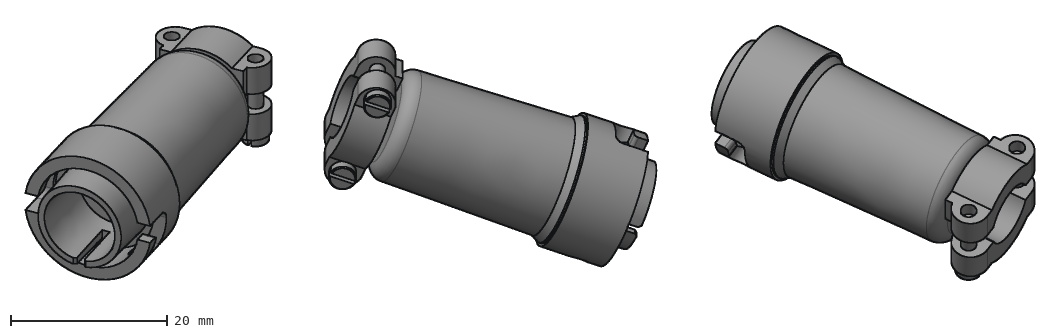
import cadquery as cq

length = 41.0
collar_radius = 18.0 / 2

nose_tip_radius = 5.95
nose_root_radius = 6.15
bore_tip_radius = 5.05
bore_end_radius = 4.9
bore_depth = 9.85
key_width = 1.05
key_mouth_chamfer = 0.35

collar_front = 2.35
collar_back = 10.65
pocket_radius = 7.2
pocket_floor = 7.63

entry_half_height = 1.27
track_front = 4.22
track_back = 6.85
track_corner_radius = 1.2
entry_corner_radius = 0.55
seat_radius = 1.5
seat_height = 4.2
corner_reach = 0.4

lip_back = 10.9
lip_radius = 8.6
cone_back = 12.0
cone_radius = 8.0
shell_back = 35.0
shell_back_radius = 7.45
shell_fillet = 2.0

ear_radius = 2.5
ear_offset = 5.5
ear_y = length - ear_radius
lug_inner = 1.5
lug_outer = 5.5
saddle_radius = 7.0
cable_radius = 4.22
clamp_neck_half_width = 6.0

screw_offset = 6.0
screw_radius = 1.02
screw_top = 3.5
screw_head_radius = 1.75
screw_head_bottom = -6.85
screw_head_chamfer = 0.15
screw_slot_width = 0.5
screw_slot_depth = 1.2


def rod_along_y(radius, y_start, y_end):
    """Round rod on the Y axis."""
    rod = cq.Workplane("XZ", origin=(0, y_start, 0)).circle(radius)
    return rod.extrude(y_start - y_end)


def box_between(low, high):
    """Box between two opposite corners."""
    size = [b - a for a, b in zip(low, high)]
    return cq.Workplane("XY").box(*size, centered=False).translate(low)


def turned(profile):
    """Revolve a closed (radius, y) outline around the Y axis."""
    return cq.Workplane("XY").polyline(profile).close().revolve(360, (0, 0, 0), (0, 1, 0))


def make_shell():
    """Turned outside of the collar and the tapered shell, solid inside."""
    profile = [
        (0, collar_front),
        (collar_radius, collar_front),
        (collar_radius, collar_back),
        (lip_radius, collar_back),
        (lip_radius, lip_back),
        (cone_radius, cone_back),
        (shell_back_radius, shell_back),
        (0, shell_back),
    ]
    shell = turned(profile)
    return shell.faces(">Y").edges().fillet(shell_fillet)


def make_nose():
    """Drafted tube standing on the pocket floor, before it is bored."""
    profile = [
        (0, 0),
        (nose_tip_radius, 0),
        (nose_root_radius, pocket_floor),
        (0, pocket_floor),
    ]
    return turned(profile)


def make_bore():
    """Blind drafted bore of the nose."""
    profile = [
        (0, 0),
        (bore_tip_radius, 0),
        (bore_end_radius, bore_depth),
        (0, bore_depth),
    ]
    return turned(profile)


def make_key_slot():
    """Slot through the bottom of the nose, with a chamfered mouth at the tip."""
    mouth_half_width = key_width / 2 + key_mouth_chamfer
    outline = [
        (-mouth_half_width, 0),
        (mouth_half_width, 0),
        (key_width / 2, key_mouth_chamfer),
        (key_width / 2, pocket_floor),
        (-key_width / 2, pocket_floor),
        (-key_width / 2, key_mouth_chamfer),
    ]
    return cq.Workplane("XY").polyline(outline).close().extrude(-pocket_radius)


def round_slot_corner(slot, y, z, radius):
    """Fillet the edge of the slot that runs along X through (y, z)."""
    corner = cq.selectors.BoxSelector(
        (-collar_radius, y - corner_reach, z - corner_reach),
        (0, y + corner_reach, z + corner_reach),
    )
    return slot.edges("|X").edges(corner).fillet(radius)


def make_bayonet_slot():
    """J-shaped cutter on the -X side: axial entry, cross track and round seat."""
    seat_y = track_back - seat_radius
    entry = box_between(
        (-collar_radius, 0, -entry_half_height),
        (0, track_back, entry_half_height),
    )
    track = box_between(
        (-collar_radius, track_front, -entry_half_height),
        (0, track_back, seat_height),
    )
    slot = entry.union(track)
    slot = round_slot_corner(slot, track_back, -entry_half_height, track_corner_radius)
    slot = round_slot_corner(slot, track_front, entry_half_height, entry_corner_radius)
    seat = cq.Workplane("YZ").center(seat_y, seat_height).circle(seat_radius).extrude(-collar_radius)
    return slot.union(seat)


def make_clamp_half(front):
    """Upper clamp half: a round saddle with an ear on each side."""
    lug_height = lug_outer - lug_inner
    plate = box_between(
        (-clamp_neck_half_width, front, lug_inner),
        (clamp_neck_half_width, ear_y, lug_outer),
    )
    plate = plate.union(
        box_between(
            (-ear_offset, ear_y - ear_radius, lug_inner),
            (ear_offset, length, lug_outer),
        )
    )
    ears = cq.Workplane("XY", origin=(0, 0, lug_inner))
    ears = ears.pushPoints([(-ear_offset, ear_y), (ear_offset, ear_y)])
    plate = plate.union(ears.circle(ear_radius).extrude(lug_height))
    upper_half = box_between(
        (-saddle_radius, front, lug_inner),
        (saddle_radius, length, saddle_radius),
    )
    saddle_top = box_between(
        (-saddle_radius, front, lug_outer),
        (saddle_radius, length, saddle_radius),
    )
    saddle = rod_along_y(saddle_radius, front, length).intersect(saddle_top)
    cable = rod_along_y(cable_radius, front, length).intersect(upper_half)
    return plate.union(saddle).cut(cable)


def make_screw(x):
    """Clamp screw along Z, with a slotted head under the lower lug."""
    shank = cq.Workplane("XY", origin=(x, ear_y, -lug_outer)).circle(screw_radius)
    shank = shank.extrude(screw_top + lug_outer)
    head = cq.Workplane("XY", origin=(x, ear_y, screw_head_bottom)).circle(screw_head_radius)
    head = head.extrude(-lug_outer - screw_head_bottom).faces("<Z").chamfer(screw_head_chamfer)
    driver_slot = box_between(
        (x - screw_slot_width / 2, ear_y - screw_head_radius, screw_head_bottom),
        (x + screw_slot_width / 2, ear_y + screw_head_radius, screw_head_bottom + screw_slot_depth),
    )
    return shank.union(head.cut(driver_slot))


def make_screw_hole(x):
    """Hole through the upper lug at x; the shank fills its lower part."""
    return cq.Workplane("XY", origin=(x, ear_y, 0)).circle(screw_radius).extrude(saddle_radius)


body = make_shell().cut(rod_along_y(pocket_radius, collar_front, pocket_floor))
bayonet_slot = make_bayonet_slot()
for angle in (0, 180):
    body = body.cut(bayonet_slot.rotate((0, 0, 0), (0, 1, 0), angle))

body = body.union(make_nose()).cut(make_key_slot()).cut(make_bore())

screw_places = (-screw_offset, screw_offset)

upper_clamp = make_clamp_half(shell_back)
lower_clamp = make_clamp_half(ear_y - ear_radius).mirror("XY")
for x in screw_places:
    upper_clamp = upper_clamp.cut(make_screw_hole(x))

result = body.union(upper_clamp).union(lower_clamp)
for x in screw_places:
    result = result.union(make_screw(x))